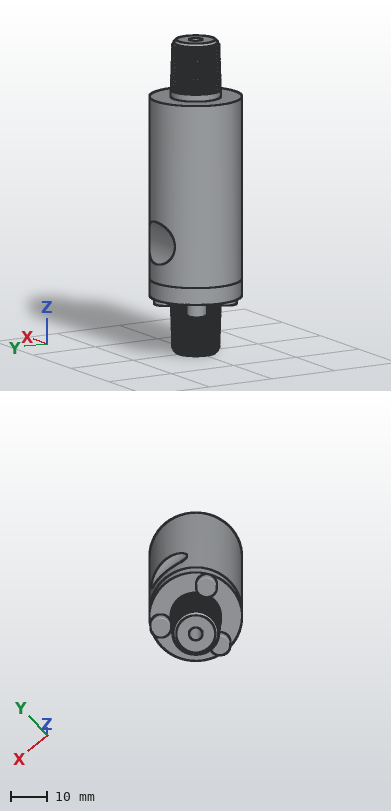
import cadquery as cq
import math

TOTAL_LENGTH = 87.55
BODY_RADIUS = 12.7
STUB_LENGTH = 15.9
CAP_THICKNESS = 4.7
BORE_DIAMETER = 3.7

COLLAR_RADIUS = 6.9
COLLAR_LENGTH = 1.9
THREAD_RADIUS = 6.8
THREAD_TAPER = 1 / 32
GROOVE_SPAN = 12.2
THREAD_DEPTH = 0.7
THREAD_ANGLE = 60.0
GROOVE_COUNT = 11
THREAD_PITCH = GROOVE_SPAN / (GROOVE_COUNT - 1)
FIRST_GROOVE = 0.8
GROOVE_OVERSHOOT = 0.4
TIP_RADIUS = 5.3

SCREW_COUNT = 3
SCREW_CIRCLE_RADIUS = 9.8
SCREW_HEAD_DIAMETER = 5.7
SCREW_HEAD_HEIGHT = 3.5
SCREW_EDGE_FILLET = 0.3
FIRST_SCREW_ANGLE = -90.0

NOTCH_RADIUS = 10.0
NOTCH_DEPTH = 1.9
NOTCH_Z = 31.95

CAP_BOTTOM_Z = STUB_LENGTH
CAP_TOP_Z = CAP_BOTTOM_Z + CAP_THICKNESS
HOUSING_TOP_Z = TOTAL_LENGTH - STUB_LENGTH


def crest_radius(height):
    """Crest radius of the tapered thread at a height above the body face."""
    return THREAD_RADIUS - THREAD_TAPER * (height - COLLAR_LENGTH)


def revolve_profile(points):
    """Turn a closed (radius, height) outline around the Z axis."""
    return cq.Workplane("XZ").polyline(points).close().revolve(360, (0, 0, 0), (0, 1, 0))


def make_thread_groove(height):
    """V ring whose point lies one thread depth below the crest."""
    crest = crest_radius(height)
    cutter_depth = THREAD_DEPTH + GROOVE_OVERSHOOT
    half_width = cutter_depth * math.tan(math.radians(THREAD_ANGLE / 2))
    outer = crest + GROOVE_OVERSHOOT
    return revolve_profile([
        (crest - THREAD_DEPTH, height),
        (outer, height + half_width),
        (outer, height - half_width),
    ])


def make_stub():
    """Collar and tapered thread pointing up from Z = 0."""
    chamfer = (crest_radius(STUB_LENGTH) - TIP_RADIUS) / (1 - THREAD_TAPER)
    chamfer_start = STUB_LENGTH - chamfer
    stub = revolve_profile([
        (0, 0),
        (COLLAR_RADIUS, 0),
        (COLLAR_RADIUS, COLLAR_LENGTH),
        (THREAD_RADIUS, COLLAR_LENGTH),
        (crest_radius(chamfer_start), chamfer_start),
        (TIP_RADIUS, STUB_LENGTH),
        (0, STUB_LENGTH),
    ])
    for index in range(GROOVE_COUNT):
        height = COLLAR_LENGTH + FIRST_GROOVE + index * THREAD_PITCH
        stub = stub.cut(make_thread_groove(height))
    return stub


def make_disc(bottom_z, top_z):
    """Plain cylinder of the body diameter."""
    return cq.Workplane("XY").workplane(offset=bottom_z).circle(BODY_RADIUS).extrude(top_z - bottom_z)


def make_bore():
    """Through bore along the whole part."""
    return cq.Workplane("XY").circle(BORE_DIAMETER / 2).extrude(TOTAL_LENGTH)


def make_notch():
    """Cylinder along X that bites into the +Y side of the housing."""
    centre_y = BODY_RADIUS - NOTCH_DEPTH + NOTCH_RADIUS
    return (
        cq.Workplane("YZ")
        .center(centre_y, NOTCH_Z)
        .circle(NOTCH_RADIUS)
        .extrude(BODY_RADIUS, both=True)
    )


def make_housing():
    """Main cylinder with the upper stub, the bore and the notch."""
    upper_stub = make_stub().translate((0, 0, HOUSING_TOP_Z))
    housing = make_disc(CAP_TOP_Z, HOUSING_TOP_Z).union(upper_stub)
    return housing.cut(make_bore()).cut(make_notch())


def make_cap():
    """End cap with the lower stub and the bore."""
    lower_stub = make_stub().rotate((0, 0, 0), (1, 0, 0), 180).translate((0, 0, CAP_BOTTOM_Z))
    return make_disc(CAP_BOTTOM_Z, CAP_TOP_Z).union(lower_stub).cut(make_bore())


def make_screw_head(angle):
    """Screw head seated against the underside of the cap."""
    x = SCREW_CIRCLE_RADIUS * math.cos(math.radians(angle))
    y = SCREW_CIRCLE_RADIUS * math.sin(math.radians(angle))
    return (
        cq.Workplane("XY")
        .workplane(offset=CAP_BOTTOM_Z)
        .center(x, y)
        .circle(SCREW_HEAD_DIAMETER / 2)
        .extrude(-SCREW_HEAD_HEIGHT)
        .faces("<Z")
        .edges()
        .fillet(SCREW_EDGE_FILLET)
    )


housing = make_housing()
cap = make_cap()
screw_heads = [
    make_screw_head(FIRST_SCREW_ANGLE + index * 360 / SCREW_COUNT)
    for index in range(SCREW_COUNT)
]

result = cq.Compound.makeCompound([
    housing.val(),
    cap.val(),
    *[head.val() for head in screw_heads],
])